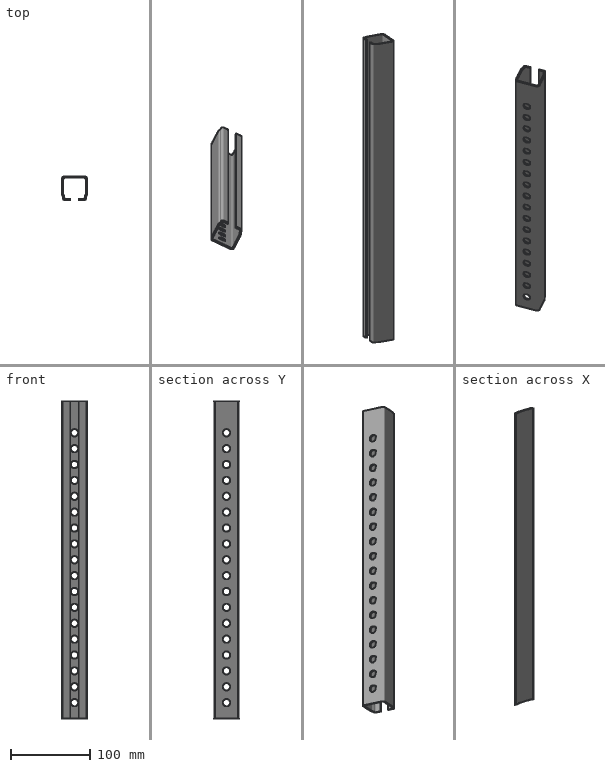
import cadquery as cq
import math

WIDTH = 32.0
DEPTH = 30.0
LENGTH = 400.0
THICKNESS = 2.0
SLOT_WIDTH = 11.0

BACK_RADIUS = 3.5
LIP_RADIUS = 2.5

JOGGLE_STEP = 1.4
JOGGLE_START_Y = -7.1
JOGGLE_ANGLE = 24.0
ENTRY_RADIUS = 3.0
EXIT_RADIUS = 6.0

HOLE_DIAMETER = 9.0
HOLE_PITCH = 20.0
HOLE_COUNT = 18
FIRST_HOLE_Z = 20.0

BACK_Y = DEPTH / 2
FRONT_Y = -DEPTH / 2
SIDE_X = WIDTH / 2
LIP_SIDE_X = SIDE_X - JOGGLE_STEP


def point_on_arc(center, radius, angle):
    """Point at the given angle, in degrees, on a circle."""
    turn = math.radians(angle)
    return center[0] + radius * math.cos(turn), center[1] + radius * math.sin(turn)


def add_bend(wire, center, radius, start_angle, end_angle):
    """Run straight to the start of an arc, then follow the arc to its end."""
    start = point_on_arc(center, radius, start_angle)
    middle = point_on_arc(center, radius, (start_angle + end_angle) / 2)
    end = point_on_arc(center, radius, end_angle)
    return wire.lineTo(*start).threePointArc(middle, end)


def joggle_length():
    """Length along Y of the two joggle bends and the slanted wall between them."""
    turn = math.radians(JOGGLE_ANGLE)
    both_radii = ENTRY_RADIUS + EXIT_RADIUS
    slant_step = JOGGLE_STEP - both_radii * (1 - math.cos(turn))
    return both_radii * math.sin(turn) + slant_step / math.tan(turn)


def half_channel():
    """The +X half of the channel: half the back wall, a side wall, its joggle and its lip."""
    back_center = (SIDE_X - BACK_RADIUS, BACK_Y - BACK_RADIUS)
    entry_center = (SIDE_X - ENTRY_RADIUS, JOGGLE_START_Y)
    exit_center = (LIP_SIDE_X + EXIT_RADIUS, JOGGLE_START_Y - joggle_length())
    lip_center = (LIP_SIDE_X - LIP_RADIUS, FRONT_Y + LIP_RADIUS)
    slot_x = SLOT_WIDTH / 2

    wire = cq.Workplane("XY").moveTo(0, BACK_Y)
    wire = add_bend(wire, back_center, BACK_RADIUS, 90, 0)
    wire = add_bend(wire, entry_center, ENTRY_RADIUS, 0, -JOGGLE_ANGLE)
    wire = add_bend(wire, exit_center, EXIT_RADIUS, 180 - JOGGLE_ANGLE, 180)
    wire = add_bend(wire, lip_center, LIP_RADIUS, 0, -90)

    wire = wire.lineTo(slot_x, FRONT_Y).lineTo(slot_x, FRONT_Y + THICKNESS)
    wire = add_bend(wire, lip_center, LIP_RADIUS - THICKNESS, -90, 0)
    wire = add_bend(wire, exit_center, EXIT_RADIUS + THICKNESS, 180, 180 - JOGGLE_ANGLE)
    wire = add_bend(wire, entry_center, ENTRY_RADIUS - THICKNESS, -JOGGLE_ANGLE, 0)
    wire = add_bend(wire, back_center, BACK_RADIUS - THICKNESS, 0, 90)
    wire = wire.lineTo(0, BACK_Y - THICKNESS).close()
    return wire.extrude(LENGTH)


def back_holes():
    """Cylinders that pierce the back wall, evenly spaced along Z."""
    centers = [(0, FIRST_HOLE_Z + index * HOLE_PITCH) for index in range(HOLE_COUNT)]
    back_face = cq.Workplane("XZ", origin=(0, BACK_Y, 0))
    return back_face.pushPoints(centers).circle(HOLE_DIAMETER / 2).extrude(THICKNESS)


half = half_channel()
channel = half.union(half.mirror("YZ")).clean()
result = channel.cut(back_holes())